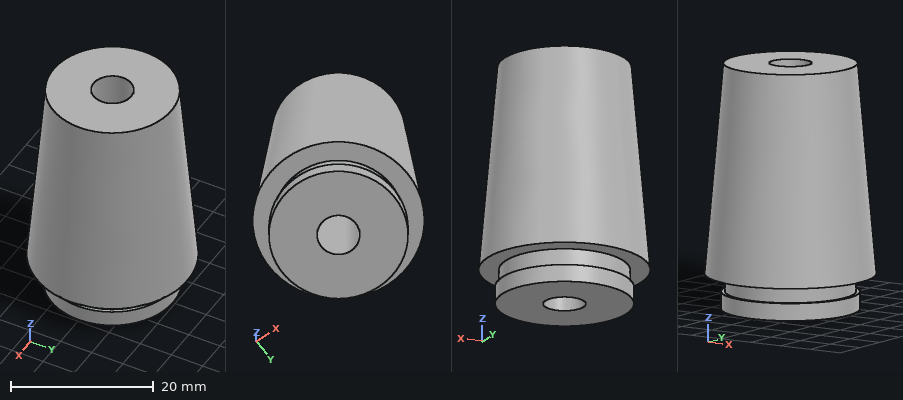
import cadquery as cq

total_height = 35.0
flange_height = 2.5
neck_height = 2.52
flange_diameter = 19.5
neck_diameter = 18.4
body_base_diameter = 24.1
body_top_diameter = 18.85
bore_diameter = 6.0

body_bottom = flange_height + neck_height

half_section = (
    cq.Workplane("XZ")
    .moveTo(bore_diameter / 2, 0)
    .lineTo(flange_diameter / 2, 0)
    .lineTo(flange_diameter / 2, flange_height)
    .lineTo(neck_diameter / 2, flange_height)
    .lineTo(neck_diameter / 2, body_bottom)
    .lineTo(body_base_diameter / 2, body_bottom)
    .lineTo(body_top_diameter / 2, total_height)
    .lineTo(bore_diameter / 2, total_height)
    .close()
)
result = half_section.revolve(360, (0, 0, 0), (0, 1, 0))